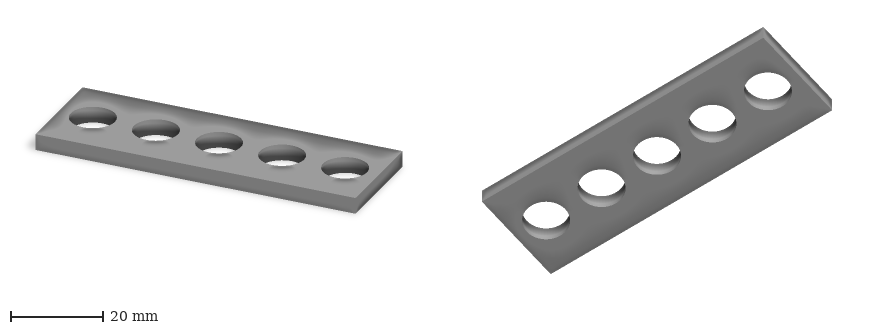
import cadquery as cq

length = 76.0
width = 25.0
thickness = 3.8

hole_count = 5
hole_diameter = 10.4
hole_pitch = 15.0

plate = cq.Workplane("XY").box(length, width, thickness)

result = (
    plate.faces(">Z")
    .workplane()
    .rarray(hole_pitch, width, hole_count, 1)
    .hole(hole_diameter)
)